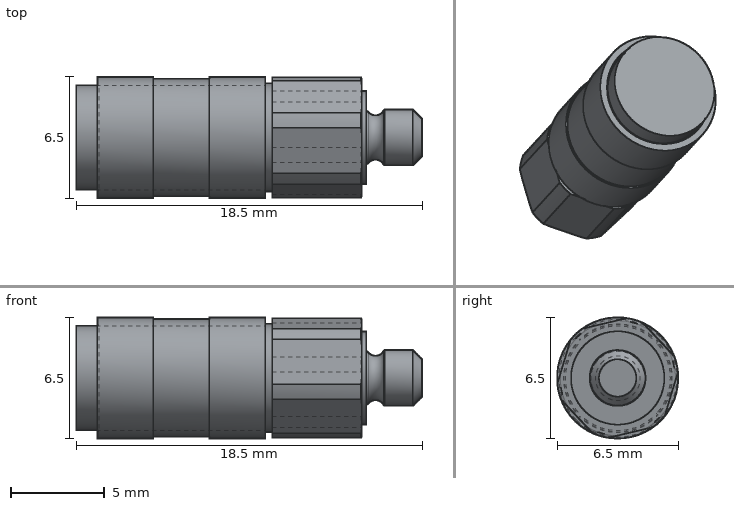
import cadquery as cq
import math


sleeve_start = 1.13
sleeve_section = 3.0
sleeve_diameter = 6.5
band_diameter = 6.3
bore_diameter = 5.6
bore_mouth_diameter = 5.75

band_start = sleeve_start + sleeve_section
band_end = band_start + sleeve_section
sleeve_end = band_end + sleeve_section

neck_diameter = 5.8
neck_length = 0.35
hex_across_flats = 6.0
hex_corner_diameter = sleeve_diameter
hex_tilt = 16.7
hex_end = 15.28
hex_chamfer_length = 0.05
hex_face_diameter = 6.16
collar_diameter = 5.0
collar_end = 15.52

hex_start = sleeve_end + neck_length

nipple_end = 18.5
nipple_diameter = 3.0
tip_chamfer = 0.5
groove_diameter = 2.39
groove_arc_radius = 0.5
groove_center = 16.0
groove_start = 15.61
groove_cone_diameter = 2.89
lip_start = 16.5
lip_diameter = 2.92

nipple_radius = nipple_diameter / 2
groove_axis_radius = groove_diameter / 2 + groove_arc_radius
groove_start_radius = groove_axis_radius - math.sqrt(
    groove_arc_radius**2 - (groove_center - groove_start) ** 2
)
groove_end = groove_center + math.sqrt(
    groove_arc_radius**2 - (groove_axis_radius - lip_diameter / 2) ** 2
)


def cylinder(start, end, diameter):
    """Solid cylinder on the X axis between two stations."""
    return cq.Workplane("YZ", origin=(start, 0, 0)).circle(diameter / 2).extrude(end - start)


def revolve_about_x(profile):
    """Full revolution of an XY profile about the X axis."""
    return profile.revolve(360, (0, 0, 0), (1, 0, 0))


def make_sleeve():
    mouth_radius = bore_mouth_diameter / 2
    bore_radius = bore_diameter / 2
    mouth_depth = mouth_radius - bore_radius
    profile = (
        cq.Workplane("XY")
        .moveTo(sleeve_start, mouth_radius)
        .lineTo(sleeve_start, sleeve_diameter / 2)
        .lineTo(band_start, sleeve_diameter / 2)
        .lineTo(band_start, band_diameter / 2)
        .lineTo(band_end, band_diameter / 2)
        .lineTo(band_end, sleeve_diameter / 2)
        .lineTo(sleeve_end, sleeve_diameter / 2)
        .lineTo(sleeve_end, bore_radius)
        .lineTo(sleeve_start + mouth_depth, bore_radius)
        .close()
    )
    return revolve_about_x(profile)


def make_hexagon():
    """Hexagonal prism with rounded corners, chamfered at its far end."""
    corner_radius = hex_corner_diameter / 2
    turned_blank = revolve_about_x(
        cq.Workplane("XY")
        .moveTo(hex_start, 0)
        .lineTo(hex_start, corner_radius)
        .lineTo(hex_end - hex_chamfer_length, corner_radius)
        .lineTo(hex_end, hex_face_diameter / 2)
        .lineTo(hex_end, 0)
        .close()
    )
    prism = (
        cq.Workplane("YZ", origin=(hex_start, 0, 0))
        .polygon(6, hex_across_flats, circumscribed=True)
        .extrude(hex_end - hex_start)
        .rotate((0, 0, 0), (1, 0, 0), -hex_tilt)
    )
    return turned_blank.intersect(prism)


def make_nipple():
    profile = (
        cq.Workplane("XY")
        .moveTo(collar_end, 0)
        .lineTo(collar_end, groove_cone_diameter / 2)
        .lineTo(groove_start, groove_start_radius)
        .threePointArc((groove_center, groove_diameter / 2), (groove_end, lip_diameter / 2))
        .lineTo(lip_start, nipple_radius)
        .lineTo(nipple_end - tip_chamfer, nipple_radius)
        .lineTo(nipple_end, nipple_radius - tip_chamfer)
        .lineTo(nipple_end, 0)
        .close()
    )
    return revolve_about_x(profile)


def make_core():
    barrel = cylinder(0, sleeve_end, bore_diameter)
    neck = cylinder(sleeve_end, hex_start, neck_diameter)
    collar = cylinder(hex_end, collar_end, collar_diameter)
    return barrel.union(neck).union(make_hexagon()).union(collar).union(make_nipple())


sleeve = make_sleeve()
core = make_core()

result = cq.Compound.makeCompound([sleeve.val(), core.val()])